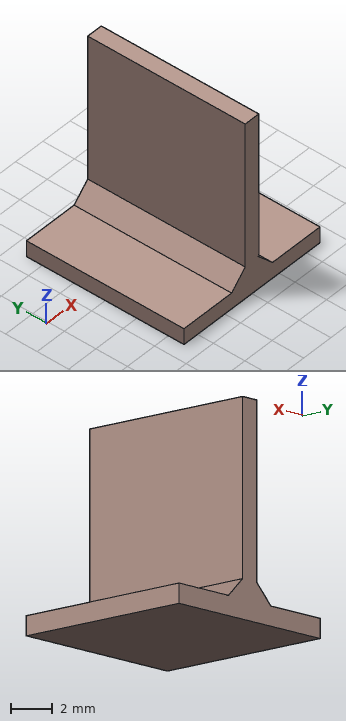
import cadquery as cq

total_height = 11.0
plate_side = 10.0
plate_thickness = total_height - plate_side
weld_leg = plate_thickness

base = cq.Workplane("XY").box(plate_side, plate_side, plate_thickness, centered=(True, True, False))

upright = (
    cq.Workplane("XY")
    .workplane(offset=plate_thickness)
    .box(plate_thickness, plate_side, plate_side, centered=(True, True, False))
)


def weld_bead(side):
    """Triangular weld along the upright; side is -1 for the -X face, +1 for the +X face."""
    root_x = side * plate_thickness / 2
    toe_x = root_x + side * weld_leg
    return (
        cq.Workplane("XZ")
        .moveTo(root_x, plate_thickness)
        .lineTo(toe_x, plate_thickness)
        .lineTo(root_x, plate_thickness + weld_leg)
        .close()
        .extrude(plate_side / 2, both=True)
    )


result = base.union(upright)
for side in (-1, 1):
    result = result.union(weld_bead(side))